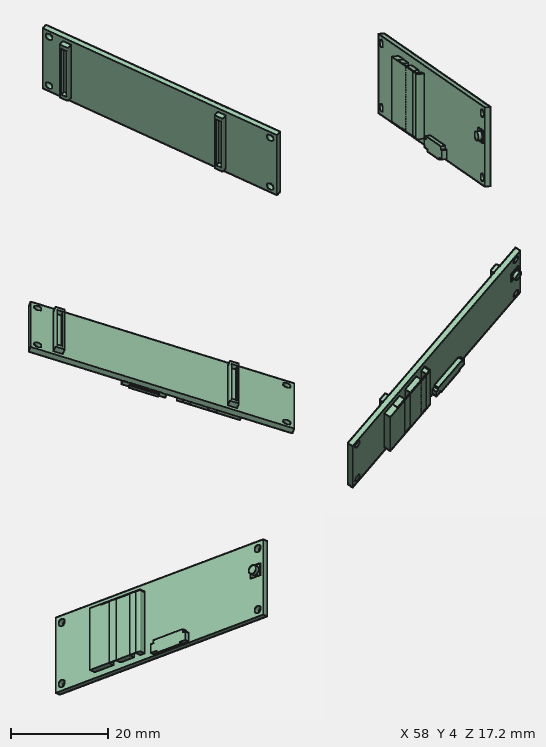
import cadquery as cq


board_length = 58.0
board_height = 17.05
board_thickness = 1.3
hole_diameter = 1.6
hole_inset_left = 1.55
hole_inset_right = 1.7
hole_inset_z = 1.6

connector_width = 2.05
connector_height = 15.0
connector_depth = 1.2
connector_edge_radius = 0.2
connector_centres_x = (-22.95, 15.35)
slot_width = 1.2
slot_height = 13.0
slot_depth = 1.0

antenna_x = -26.9
antenna_z = 2.0
antenna_base_size = 2.65
antenna_base_thickness = 0.2
antenna_post_diameter = 2.0
antenna_height = 1.05

plug_centre_x = -3.35
plug_height = 1.05
plug_top_z = -5.55
plug_shoulder_z = -6.25
plug_bottom_z = -8.25
plug_neck_width = 8.25
plug_body_width = 9.6
lip_width = 6.5
lip_thickness = 0.6
lip_overhang = 0.2

holder_left_x = 4.05
holder_length = 14.0
holder_bottom_z = -7.2
holder_height_z = 14.0
holder_depth = 1.5
sheet_thickness = 0.2
bend_radius = 0.1
end_block_length = 2.8
rib_setback = 0.05
window_ranges_x = ((5.35, 7.0), (10.85, 12.75))


def box(x_range, y_range, z_range):
    """Return a box that spans the three given (low, high) ranges."""
    size = [high - low for low, high in (x_range, y_range, z_range)]
    corner = (x_range[0], y_range[0], z_range[0])
    return cq.Workplane("XY").box(*size, centered=False).translate(corner)


def centred(middle, width):
    """Return the (low, high) range of a width about its middle."""
    return (middle - width / 2, middle + width / 2)


def behind_board(height):
    """Return the Y range from the back face of the board up to a height."""
    return (board_thickness, board_thickness + height)


def make_board():
    board = box(centred(0, board_length), (0, board_thickness), centred(0, board_height))
    left_x = -board_length / 2 + hole_inset_left
    right_x = board_length / 2 - hole_inset_right
    hole_z = board_height / 2 - hole_inset_z
    hole_places = [(x, z) for x in (left_x, right_x) for z in (-hole_z, hole_z)]
    holes = (
        cq.Workplane("XZ")
        .pushPoints(hole_places)
        .circle(hole_diameter / 2)
        .extrude(-board_thickness)
    )
    return board.cut(holes)


def make_connector(centre_x):
    """Return a header with rounded long front edges and a blind front slot."""
    housing = box(centred(centre_x, connector_width), (-connector_depth, 0), centred(0, connector_height))
    housing = housing.faces("<Y").edges("|Z").fillet(connector_edge_radius)
    slot = box(
        centred(centre_x, slot_width),
        (-connector_depth, slot_depth - connector_depth),
        centred(0, slot_height),
    )
    return housing.cut(slot)


def make_antenna_base():
    return box(
        centred(antenna_x, antenna_base_size),
        behind_board(antenna_base_thickness),
        centred(antenna_z, antenna_base_size),
    )


def make_antenna_post():
    post_start_y = board_thickness + antenna_base_thickness
    post = (
        cq.Workplane("XZ")
        .center(antenna_x, antenna_z)
        .circle(antenna_post_diameter / 2)
        .extrude(antenna_base_thickness - antenna_height)
    )
    return post.translate((0, post_start_y, 0))


def make_plug_socket():
    """Return a stepped block whose lip hangs over the bottom edge of the board."""
    plug_y = behind_board(plug_height)
    lip_y = (plug_y[1] - lip_thickness, plug_y[1])
    lip_bottom_z = -board_height / 2 - lip_overhang
    neck = box(centred(plug_centre_x, plug_neck_width), plug_y, (plug_shoulder_z, plug_top_z))
    body = box(centred(plug_centre_x, plug_body_width), plug_y, (plug_bottom_z, plug_shoulder_z))
    lip = box(centred(plug_centre_x, lip_width), lip_y, (lip_bottom_z, plug_bottom_z))
    return body.union(neck).union(lip)


def make_card_holder():
    """Return a bent sheet cover carried by ribs, with a solid block at its right end."""
    right_x = holder_left_x + holder_length
    block_x = right_x - end_block_length
    holder_z = (holder_bottom_z, holder_bottom_z + holder_height_z)
    holder_y = behind_board(holder_depth)
    under_sheet_y = behind_board(holder_depth - sheet_thickness)

    holder = box((holder_left_x, right_x), holder_y, holder_z)
    holder = holder.edges("<X and >Y").fillet(bend_radius)

    setback_z = (holder_z[1] - rib_setback, holder_z[1])
    holder = holder.cut(box((holder_left_x + sheet_thickness, block_x), under_sheet_y, setback_z))

    for window_range_x in window_ranges_x:
        holder = holder.cut(box(window_range_x, under_sheet_y, holder_z))
    return holder


board = make_board()
connectors = [make_connector(centre_x) for centre_x in connector_centres_x]
antenna_base = make_antenna_base()
antenna_post = make_antenna_post()
plug_socket = make_plug_socket()
card_holder = make_card_holder()

result = cq.Compound.makeCompound(
    [
        board.val(),
        *[connector.val() for connector in connectors],
        antenna_base.val(),
        antenna_post.val(),
        plug_socket.val(),
        card_holder.val(),
    ]
)